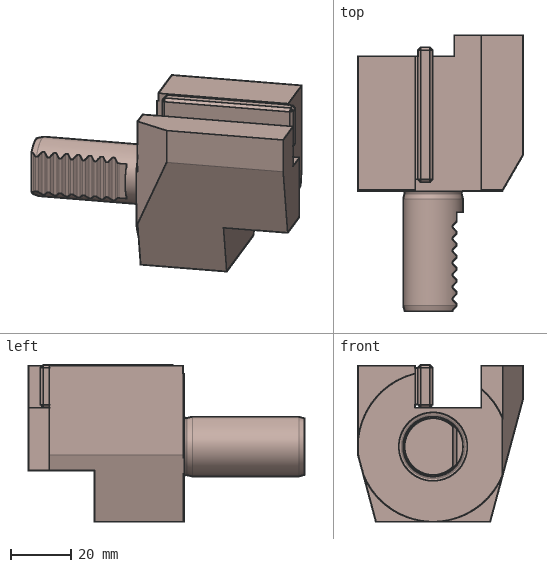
import cadquery as cq
import math


LEFT_X = -25.0
RIGHT_X = 30.0
BOTTOM_Z = -25.0
TOP_Z = 27.0
TAPER = math.radians(15)
BASE_HALF_WIDTH = 19.0
BACK_Y = 52.0
FACE_RELIEF = 0.5
CORNER_CUT_X = 23.0
CORNER_CUT_ANGLE = math.radians(30)
UNDERCUT_Y = 30.0
UNDERCUT_Z = -8.0
BACK_STEP_Y = 45.0
BACK_STEP_X = 7.0

SLOT_LEFT_X = -6.0
SLOT_RIGHT_X = 16.0
SLOT_FLOOR_Z = 13.0

PLATE_X = (-5.1, -0.1)
PLATE_Y = (2.9, 47.9)
PLATE_TOP_Z = 27.2
PLATE_CHAMFER = 1.0

SHANK_RADIUS = 20.0 / 2
SHANK_LENGTH = 40.0
NECK_RADIUS = 19.1 / 2
NECK_LENGTH = 0.8
NECK_CONE_END = 2.6
TIP_CHAMFER_LENGTH = 2.0
TIP_CHAMFER_DEPTH = 0.55

GROOVE_RADIUS = 22.8 / 2
GROOVE_DEPTH = 0.32
GROOVE_INNER_FILLET = 1.7 / 2
GROOVE_OUTER_FILLET = 2.1 / 2
ROOT_DEPTH = 0.9

FLAT_X = 7.9
FLAT_START = 7.0
ROOT_X = 6.5
FIRST_ROOT_Y = -11.8
LAST_ROOT_Y = -39.8
ROOT_COUNT = 8
PITCH = (FIRST_ROOT_Y - LAST_ROOT_Y) / (ROOT_COUNT - 1)


def box(x, y, z):
    """Box between the (low, high) limits along each axis."""
    size = (x[1] - x[0], y[1] - y[0], z[1] - z[0])
    return cq.Workplane("XY").box(*size, centered=False).translate((x[0], y[0], z[0]))


def make_body():
    """Tapered block with its flange disc, cut corner, undercut, back step and tool slot."""
    left_taper_z = BOTTOM_Z + (-LEFT_X - BASE_HALF_WIDTH) / math.tan(TAPER)
    right_taper_z = BOTTOM_Z + (RIGHT_X - BASE_HALF_WIDTH) / math.tan(TAPER)
    outline = [
        (-BASE_HALF_WIDTH, BOTTOM_Z),
        (BASE_HALF_WIDTH, BOTTOM_Z),
        (RIGHT_X, right_taper_z),
        (RIGHT_X, TOP_Z),
        (LEFT_X, TOP_Z),
        (LEFT_X, left_taper_z),
    ]
    body = cq.Workplane("XZ").polyline(outline).close().extrude(-BACK_Y)

    disc_radius = -BOTTOM_Z
    clear_size = 4 * RIGHT_X
    relief = (
        cq.Workplane("XZ")
        .rect(clear_size, clear_size)
        .circle(disc_radius)
        .extrude(-FACE_RELIEF)
    )
    body = body.cut(relief)

    corner_rise = (RIGHT_X - CORNER_CUT_X) / math.tan(CORNER_CUT_ANGLE)
    corner = (
        cq.Workplane("XY")
        .workplane(offset=BOTTOM_Z)
        .polyline([(CORNER_CUT_X, 0), (RIGHT_X, 0), (RIGHT_X, corner_rise)])
        .close()
        .extrude(TOP_Z - BOTTOM_Z)
    )
    undercut = box((LEFT_X, RIGHT_X), (UNDERCUT_Y, BACK_Y), (BOTTOM_Z, UNDERCUT_Z))
    back_step = box((LEFT_X, BACK_STEP_X), (BACK_STEP_Y, BACK_Y), (BOTTOM_Z, TOP_Z))
    slot = box((SLOT_LEFT_X, SLOT_RIGHT_X), (0, BACK_Y), (SLOT_FLOOR_Z, TOP_Z))
    return body.cut(corner).cut(undercut).cut(back_step).cut(slot)


def make_plate():
    """Chamfered clamping plate and the web that joins it to the slot wall."""
    plate = box(PLATE_X, PLATE_Y, (SLOT_FLOOR_Z, PLATE_TOP_Z)).edges().chamfer(PLATE_CHAMFER)
    web = box(
        (SLOT_LEFT_X, PLATE_X[0]),
        (PLATE_Y[0] + PLATE_CHAMFER, BACK_STEP_Y),
        (SLOT_FLOOR_Z + PLATE_CHAMFER, PLATE_TOP_Z - PLATE_CHAMFER),
    )
    return plate.union(web)


def make_tooth_cut():
    """Everything removed beyond the toothed flat, extruded along Z."""
    depth = FLAT_X - ROOT_X
    radius = (PITCH / 2 - depth) / (2 * (math.sqrt(2) - 1))
    half_chord = radius * math.sin(math.pi / 4)
    sagitta = radius - half_chord
    clear_x = 2 * SHANK_RADIUS

    cut = cq.Workplane("XY").moveTo(clear_x, -FLAT_START).lineTo(FLAT_X, -FLAT_START)
    cut = cut.lineTo(FLAT_X, FIRST_ROOT_Y + PITCH / 2)
    for index in range(ROOT_COUNT):
        root = FIRST_ROOT_Y - index * PITCH
        crest_before = root + PITCH / 2
        crest_after = root - PITCH / 2
        cut = (
            cut.radiusArc((FLAT_X - sagitta, crest_before - half_chord), radius)
            .lineTo(ROOT_X + sagitta, root + half_chord)
            .threePointArc((ROOT_X, root), (ROOT_X + sagitta, root - half_chord))
            .lineTo(FLAT_X - sagitta, crest_after + half_chord)
            .radiusArc((FLAT_X, crest_after), radius)
        )
    cut = cut.lineTo(clear_x, crest_after).close()
    return cut.extrude(SHANK_RADIUS, both=True)


def make_shank_pocket():
    """Round pocket in the body that the root of the shank fills."""
    return cq.Workplane("XZ").circle(GROOVE_RADIUS).extrude(-ROOT_DEPTH)


def make_shank():
    """Shank with its neck, and a root plug that carries the groove floor."""
    inner_floor_x = NECK_RADIUS + GROOVE_INNER_FILLET
    outer_center_y = GROOVE_DEPTH - GROOVE_OUTER_FILLET
    outer_floor_x = GROOVE_RADIUS - math.sqrt(GROOVE_OUTER_FILLET**2 - outer_center_y**2)
    neck_start_y = GROOVE_DEPTH - GROOVE_INNER_FILLET
    shank = (
        cq.Workplane("XY")
        .moveTo(0, ROOT_DEPTH)
        .lineTo(GROOVE_RADIUS, ROOT_DEPTH)
        .lineTo(GROOVE_RADIUS, 0)
        .radiusArc((outer_floor_x, GROOVE_DEPTH), -GROOVE_OUTER_FILLET)
        .lineTo(inner_floor_x, GROOVE_DEPTH)
        .radiusArc((NECK_RADIUS, neck_start_y), -GROOVE_INNER_FILLET)
        .lineTo(NECK_RADIUS, -NECK_LENGTH)
        .lineTo(SHANK_RADIUS, -NECK_CONE_END)
        .lineTo(SHANK_RADIUS, TIP_CHAMFER_LENGTH - SHANK_LENGTH)
        .lineTo(SHANK_RADIUS - TIP_CHAMFER_DEPTH, -SHANK_LENGTH)
        .lineTo(0, -SHANK_LENGTH)
        .close()
        .revolve(360, (0, 0), (0, 1))
    )
    return shank.cut(make_tooth_cut())


result = make_body().union(make_plate()).cut(make_shank_pocket()).union(make_shank())